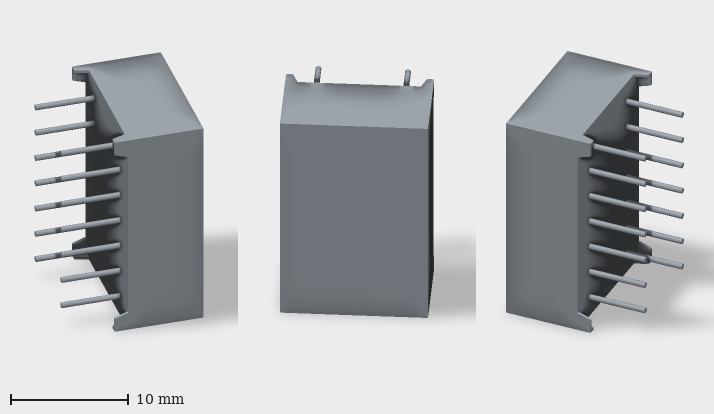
import cadquery as cq

width = 12.6
height = 19.0
total_depth = 11.87
pin_length = 5.2
body_depth = total_depth - pin_length

foot_height = 1.2
wall_thickness = 0.25
x_wall_root = 1.05
x_wall_tip = 0.62
z_wall_root = 1.68
z_wall_tip = 1.27

pin_diameter = 0.5
pin_pitch = 2.54
row_spacing = 7.62
pins_per_row = 7


def make_body():
    """Plain block with its pin face at Y = 0."""
    return cq.Workplane("XY").box(width, body_depth, height, centered=(True, False, True))


def tapered_profile(plane, root, tip):
    """Foot wall outline, measured inward from the corner edge and out from the pin face."""
    return (
        cq.Workplane(plane)
        .moveTo(0, 0)
        .lineTo(root, 0)
        .lineTo(tip, -foot_height)
        .lineTo(0, -foot_height)
        .close()
    )


def make_corner_foot():
    """L-shaped foot for the corner at -X, -Z."""
    x_wall = tapered_profile("XY", x_wall_root, x_wall_tip).extrude(wall_thickness)
    side_plane = cq.Plane(origin=(0, 0, 0), xDir=(0, 0, 1), normal=(-1, 0, 0))
    z_wall = tapered_profile(side_plane, z_wall_root, z_wall_tip).extrude(-wall_thickness)
    return x_wall.union(z_wall).translate((-width / 2, 0, -height / 2))


def make_feet():
    """The corner foot mirrored to all four corners."""
    foot = make_corner_foot()
    bottom_feet = foot.union(foot.mirror("YZ"))
    return bottom_feet.union(bottom_feet.mirror("XY"))


def make_pins():
    """Two parallel rows of pins standing out from the pin face."""
    return (
        cq.Workplane("XZ")
        .rarray(row_spacing, pin_pitch, 2, pins_per_row)
        .circle(pin_diameter / 2)
        .extrude(pin_length)
    )


result = make_body().union(make_feet()).union(make_pins())